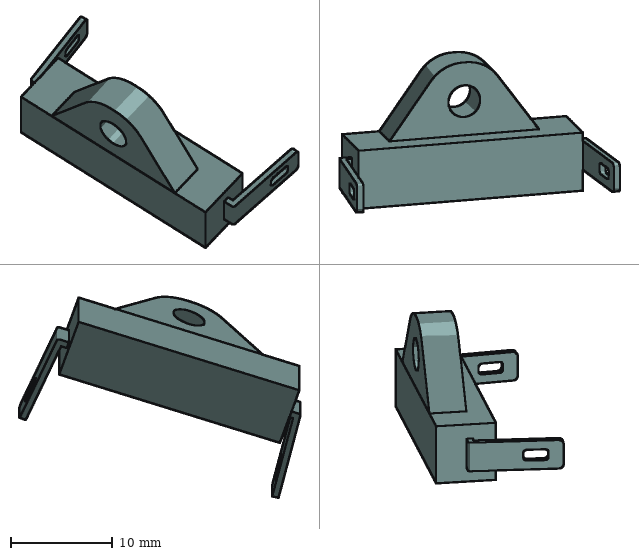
import cadquery as cq
import math


span = 27.0
depth = 12.5
height = 13.5

block_length = 23.0
block_depth = 6.0
block_height = 6.0

lug_base_width = 15.35
lug_thickness = 3.7
lug_corner_radius = 4.0
lug_top_flat = 0.4
lug_hole_diameter = 3.25

strip_thickness = 0.65
strip_width = 3.0
strip_front = 3.02
lean_angle = math.radians(5.0)
bend_radius = 0.22
tip_radius = 0.5
slot_length = 2.5
slot_width = 1.13
slot_corner_radius = 0.38
slot_tip_distance = 1.5


def make_lug():
    """Tapered plate with two rounded top corners and a cross hole."""
    half_base = lug_base_width / 2
    arc_x = lug_top_flat / 2
    arc_z = height - lug_corner_radius

    run = half_base - arc_x
    rise = arc_z - block_height
    base_to_center = math.hypot(run, rise)
    normal_angle = math.acos(lug_corner_radius / base_to_center) - math.atan2(rise, run)

    def arc_point(angle):
        return (
            arc_x + lug_corner_radius * math.cos(angle),
            arc_z + lug_corner_radius * math.sin(angle),
        )

    tangent = arc_point(normal_angle)
    arc_middle = arc_point((normal_angle + math.pi / 2) / 2)
    plate = (
        cq.Workplane("XZ")
        .moveTo(-half_base, block_height)
        .lineTo(half_base, block_height)
        .lineTo(*tangent)
        .threePointArc(arc_middle, (arc_x, height))
        .lineTo(-arc_x, height)
        .threePointArc((-arc_middle[0], arc_middle[1]), (-tangent[0], tangent[1]))
        .close()
        .extrude(-lug_thickness)
    )
    hole = (
        cq.Workplane("XZ")
        .center(0, arc_z)
        .circle(lug_hole_diameter / 2)
        .extrude(-lug_thickness)
    )
    return plate.cut(hole)


def make_terminal():
    """Right-hand strip: a short foot out of the block, then a slotted arm leaning outward."""
    foot_x = block_length / 2
    strip_back = strip_front + strip_thickness
    tip_outer = (span / 2, depth - strip_thickness * math.sin(lean_angle))
    tip_inner = (span / 2 - strip_thickness * math.cos(lean_angle), depth)

    def face_x(tip, y):
        return tip[0] - (tip[1] - y) * math.tan(lean_angle)

    bend_outer = (face_x(tip_outer, strip_front), strip_front)
    bend_inner = (face_x(tip_inner, strip_back), strip_back)
    strip = (
        cq.Workplane("XY", origin=(0, 0, (block_height - strip_width) / 2))
        .polyline([
            (foot_x, strip_front),
            bend_outer,
            tip_outer,
            tip_inner,
            bend_inner,
            (foot_x, strip_back),
        ])
        .close()
        .extrude(strip_width)
    )
    bend_edge = cq.selectors.NearestToPointSelector((*bend_outer, block_height / 2))
    strip = strip.edges("|Z").edges(bend_edge).fillet(bend_radius)

    along_arm = cq.Vector(math.sin(lean_angle), math.cos(lean_angle), 0)
    outward = cq.Vector(math.cos(lean_angle), -math.sin(lean_angle), 0)
    tip_edges = cq.selectors.ParallelDirSelector(outward)
    strip = strip.edges(tip_edges).fillet(tip_radius)

    arm_plane = cq.Plane(
        origin=(*tip_outer, block_height / 2),
        xDir=along_arm,
        normal=outward,
    )
    slot = (
        cq.Workplane(arm_plane)
        .center(-slot_tip_distance - slot_length / 2, 0)
        .rect(slot_length, slot_width)
        .extrude(-strip_thickness)
        .edges(tip_edges)
        .fillet(slot_corner_radius)
    )
    return strip.cut(slot)


def make_terminal_block():
    """Plain block with a terminal at each end, as one solid."""
    block = cq.Workplane("XY").box(
        block_length, block_depth, block_height, centered=(True, False, False)
    )
    terminal = make_terminal()
    return block.union(terminal).union(terminal.mirror("YZ"))


lug = make_lug()
terminal_block = make_terminal_block()
result = cq.Compound.makeCompound([terminal_block.solids().val(), lug.solids().val()])